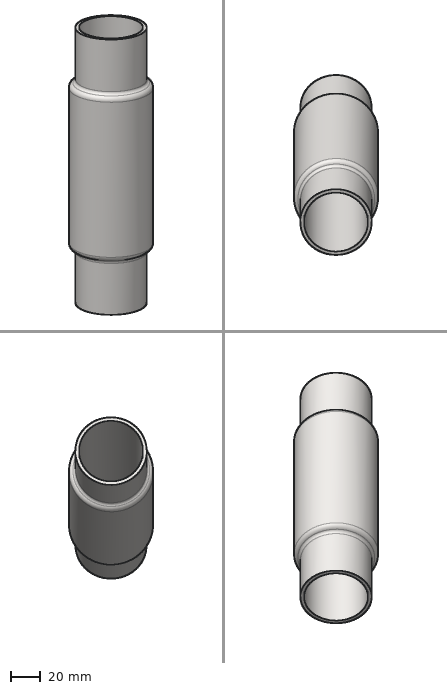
import cadquery as cq
import math

total_length = 198.0
body_diameter = 57.0
neck_diameter = 48.3
bore_diameter = 43.2
neck_length = 37.2

crest_radius = 3.8
root_radius = 2.5

half_length = total_length / 2
body_radius = body_diameter / 2
neck_radius = neck_diameter / 2
bore_radius = bore_diameter / 2

step = body_radius - neck_radius
arc_angle = math.acos(1 - step / (crest_radius + root_radius))
shoulder_length = (crest_radius + root_radius) * math.sin(arc_angle)

neck_end = half_length - neck_length
body_end = neck_end - shoulder_length


def root_point(angle, side):
    """Radius and height on a concave arc, from its neck end; side is +1 upper, -1 lower."""
    radius = neck_radius + root_radius * (1 - math.cos(angle))
    height = neck_end - root_radius * math.sin(angle)
    return (radius, side * height)


def crest_point(angle, side):
    """Radius and height on a convex arc, from its body end; side is +1 upper, -1 lower."""
    radius = body_radius - crest_radius * (1 - math.cos(angle))
    height = body_end + crest_radius * math.sin(angle)
    return (radius, side * height)


wall_section = (
    cq.Workplane("XZ")
    .moveTo(bore_radius, -half_length)
    .lineTo(neck_radius, -half_length)
    .lineTo(neck_radius, -neck_end)
    .threePointArc(root_point(arc_angle / 2, -1), root_point(arc_angle, -1))
    .threePointArc(crest_point(arc_angle / 2, -1), (body_radius, -body_end))
    .lineTo(body_radius, body_end)
    .threePointArc(crest_point(arc_angle / 2, 1), crest_point(arc_angle, 1))
    .threePointArc(root_point(arc_angle / 2, 1), (neck_radius, neck_end))
    .lineTo(neck_radius, half_length)
    .lineTo(bore_radius, half_length)
    .close()
)

result = wall_section.revolve(360, (0, 0, 0), (0, 1, 0))